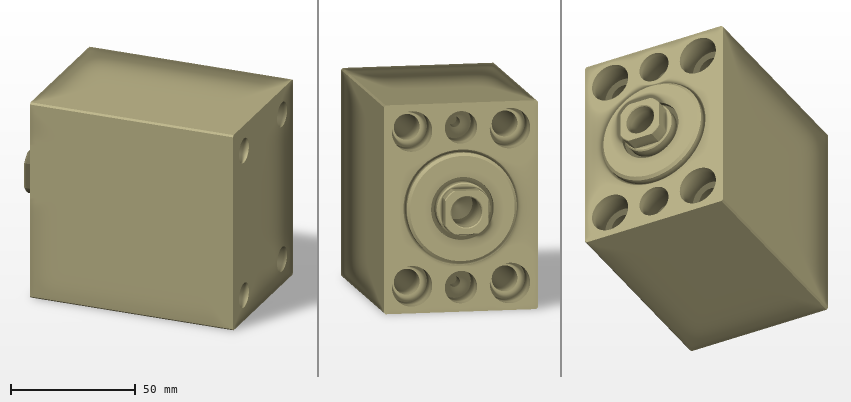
import cadquery as cq
import math

TOTAL_LENGTH = 100.0
WIDTH = 63.0
HEIGHT = 85.0
ROD_REACH = 12.0
HOUSING_LENGTH = TOTAL_LENGTH - ROD_REACH
EDGE_CHAMFER = 0.7

MOUNT_SPACING_Y = 40.0
MOUNT_SPACING_Z = 63.0
MOUNT_HOLE_DIAMETER = 10.5
MOUNT_HEAD_DIAMETER = 16.5
MOUNT_HEAD_DEPTH = 11.0

PORT_SPACING_Z = 65.0
PORT_DIAMETER = 13.2
PORT_DEPTH = 13.0
PORT_FEED_DIAMETER = 4.3
PORT_FEED_DEPTH = 20.0

GLAND_DIAMETER = 45.0
GLAND_REACH = 3.0
GLAND_DEPTH = 25.0
GLAND_CHAMFER = 1.1
BORE_CHAMFER = 1.0
WIPER_DIAMETER = 25.6
WIPER_DEPTH = 2.0

ROD_DIAMETER = 22.0
ROD_CHAMFER = 0.5
HEAD_LENGTH = 6.2
HEAD_DIAMETER = 20.6
HEAD_ACROSS_FLATS = 17.6
HEAD_CHAMFER = 0.3
SOCKET_DIAMETER = 12.5
SOCKET_CHAMFER = 0.4
SOCKET_DEPTH = 20.0
DRILL_POINT_ANGLE = 118.0



def cylinder(diameter, start_x, end_x):
    """Round bar on the X axis."""
    return cq.Workplane("YZ", origin=(start_x, 0, 0)).circle(diameter / 2).extrude(end_x - start_x)


def cone(start_diameter, end_diameter, start_x, length):
    """Cone on the X axis, cut off unless its end diameter is zero."""
    start = cq.Vector(start_x, 0, 0)
    along_x = cq.Vector(1, 0, 0)
    return cq.Workplane(cq.Solid.makeCone(start_diameter / 2, end_diameter / 2, length, start, along_x))


def make_housing():
    block = cq.Workplane("YZ").rect(WIDTH, HEIGHT).extrude(HOUSING_LENGTH)
    block = block.edges("|X").chamfer(EDGE_CHAMFER)

    bore = cylinder(GLAND_DIAMETER, 0, GLAND_DEPTH)
    bore_mouth = cone(GLAND_DIAMETER + 2 * BORE_CHAMFER, GLAND_DIAMETER, 0, BORE_CHAMFER)
    block = block.cut(bore).cut(bore_mouth)

    mount_hole = cylinder(MOUNT_HOLE_DIAMETER, 0, HOUSING_LENGTH)
    mount_hole = mount_hole.union(cylinder(MOUNT_HEAD_DIAMETER, 0, MOUNT_HEAD_DEPTH))
    port = cylinder(PORT_DIAMETER, 0, PORT_DEPTH)
    port = port.union(cylinder(PORT_FEED_DIAMETER, 0, PORT_FEED_DEPTH))
    for side_z in (-1, 1):
        block = block.cut(port.translate((0, 0, side_z * PORT_SPACING_Z / 2)))
        for side_y in (-1, 1):
            place = (0, side_y * MOUNT_SPACING_Y / 2, side_z * MOUNT_SPACING_Z / 2)
            block = block.cut(mount_hole.translate(place))
    return block


def make_gland():
    gland = cylinder(GLAND_DIAMETER, -GLAND_REACH, GLAND_DEPTH)
    gland = gland.faces("<X").edges().chamfer(GLAND_CHAMFER)
    gland = gland.cut(cylinder(ROD_DIAMETER, -GLAND_REACH, GLAND_DEPTH))
    return gland.cut(cylinder(WIPER_DIAMETER, -GLAND_REACH, WIPER_DEPTH - GLAND_REACH))


def make_socket():
    """Space of the blind hole in the rod tip, with its drill point and chamfered mouth."""
    bottom_x = SOCKET_DEPTH - ROD_REACH
    point_length = SOCKET_DIAMETER / 2 / math.tan(math.radians(DRILL_POINT_ANGLE / 2))
    mouth_diameter = SOCKET_DIAMETER + 2 * SOCKET_CHAMFER

    socket = cylinder(SOCKET_DIAMETER, -ROD_REACH, bottom_x)
    socket = socket.union(cone(SOCKET_DIAMETER, 0, bottom_x, point_length))
    return socket.union(cone(mouth_diameter, SOCKET_DIAMETER, -ROD_REACH, SOCKET_CHAMFER))


def make_rod():
    shoulder_x = HEAD_LENGTH - ROD_REACH
    shank = cylinder(ROD_DIAMETER, shoulder_x, GLAND_DEPTH)
    shank = shank.faces("<X").edges().chamfer(ROD_CHAMFER)

    head = cylinder(HEAD_DIAMETER, -ROD_REACH, shoulder_x)
    head = head.faces("<X").edges().chamfer(HEAD_CHAMFER)
    square = cq.Workplane("YZ", origin=(-ROD_REACH, 0, 0)).rect(HEAD_ACROSS_FLATS, HEAD_ACROSS_FLATS)
    head = head.intersect(square.extrude(HEAD_LENGTH))

    return shank.union(head).cut(make_socket())


housing = make_housing()
gland = make_gland()
rod = make_rod()

result = cq.Compound.makeCompound([housing.val(), gland.val(), rod.val()])